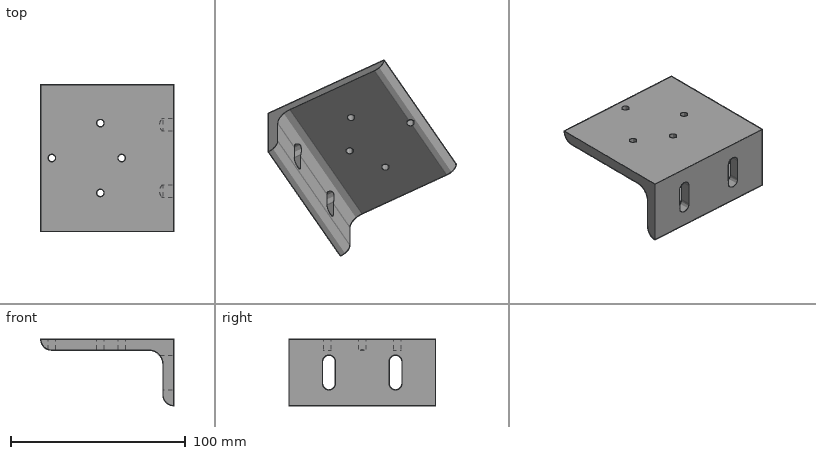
import cadquery as cq

width = 76.2
length = 84.1
height = width / 2
thickness = 6.3
root_radius = 8.0
leg_inner_x = width - thickness

hole_diameter = 4.1
hole_spacing = 39.9
y_pair_x = 34.1
x_pair_start = 6.4

slot_width = 7.15
slot_length = 19.75
slot_spacing = 38.1


def angle_body():
    """L section; each toe is a quarter round as deep as the thickness, the root is filleted."""
    return (
        cq.Workplane("XZ")
        .lineTo(width, 0)
        .lineTo(width, -height)
        .radiusArc((leg_inner_x, thickness - height), thickness)
        .lineTo(leg_inner_x, -thickness - root_radius)
        .radiusArc((leg_inner_x - root_radius, -thickness), -root_radius)
        .lineTo(thickness, -thickness)
        .radiusArc((0, 0), thickness)
        .close()
        .extrude(length / 2, both=True)
    )


def screw_holes():
    """Cutters for one pair of holes along Y and one pair along X."""
    centers = [
        (y_pair_x, hole_spacing / 2),
        (y_pair_x, -hole_spacing / 2),
        (x_pair_start, 0),
        (x_pair_start + hole_spacing, 0),
    ]
    return cq.Workplane("XY").pushPoints(centers).circle(hole_diameter / 2).extrude(-thickness)


def leg_slots():
    """Cutters for the two vertical slots, running through the leg along X."""
    centers = [(side * slot_spacing / 2, -height / 2) for side in (-1, 1)]
    return (
        cq.Workplane("YZ")
        .pushPoints(centers)
        .slot2D(slot_length, slot_width, 90)
        .extrude(width)
    )


result = angle_body().cut(screw_holes()).cut(leg_slots())